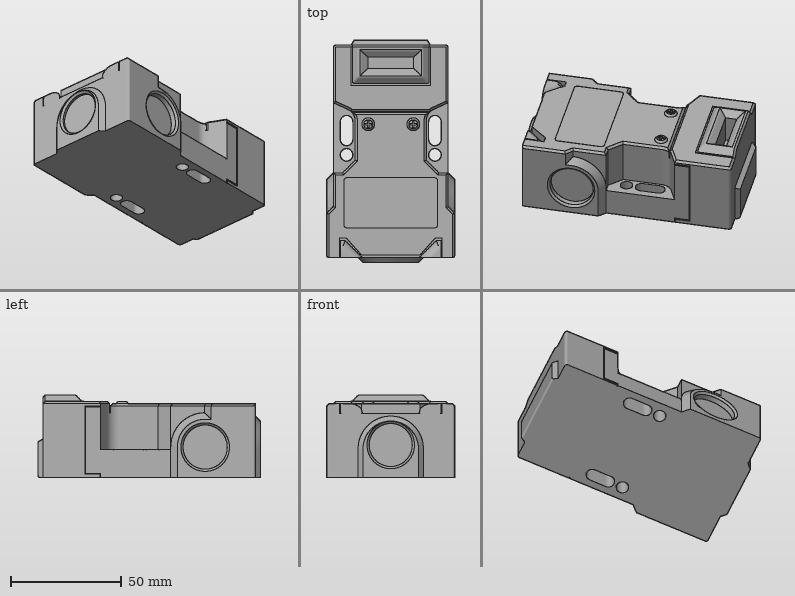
import cadquery as cq
import math

BODY_LENGTH = 96.25
LID_TOP = 33.5
HEAD_TOP = 34.5
FLANGE_TOP = 12.7
EDGE_CHAMFER = 1.0
BEVEL_ANGLE = 45.0
BACK_EDGE_RADIUS = 1.2
FRONT_EDGE_RADIUS = 1.0

WIDE_HALF = 29.0
BODY_HALF = 26.0
NECK_HALF = 16.1
WIDE_STEP = WIDE_HALF - BODY_HALF
WIDE_END_Y = 20.1
SHOULDER_Y = 38.4
SHOULDER_HALF = 21.8
NECK_START_Y = SHOULDER_Y + SHOULDER_HALF - NECK_HALF
HEAD_SIDE_Y = 70.1
HEAD_FRONT_Y = 66.1
HEAD_SLOPE = math.radians(24.6)
NECK_END_Y = HEAD_SIDE_Y - (BODY_HALF - NECK_HALF) * math.tan(HEAD_SLOPE)
NECK_FILLET = 5.6

JOINT_WIDTH = 0.4
JOINT_BOTTOM = 29.5

SEAM_WIDTH = 0.3
SEAM_DEPTH = 0.4
SEAM_BACK_Y = 77.2
SEAM_TOP = 32.4
SEAM_BOTTOM = 2.0

ENTRY_TOP = 37.5
ENTRY_HALF = 17.6
ENTRY_FRONT_Y = 78.5
ENTRY_FILLET = 1.5
PLINTH_HALF = 18.0
PLINTH_FRONT_Y = 78.0
PLINTH_HEIGHT = 0.25
ENTRY_Y = 88.2
FUNNEL_MOUTH = (27.8, 12.0)
FUNNEL_RIM = (26.0, 10.0)
FUNNEL_THROAT = (20.6, 5.1)
RIM_DEPTH = 0.5
FUNNEL_DEPTH = 2.0
KEY_SLOT_DEPTH = 15.0

BACK_ENTRY_DEPTH = 2.25
BACK_ENTRY_HALF = 17.9
BACK_ENTRY_TOP = 17.6
BACK_ENTRY_TAPER = 32.0
BACK_ENTRY_BOTTOM_FILLET = 0.9

SIDE_ENTRY_Y = 22.8
SIDE_ENTRY_Z = 13.85
SIDE_HOOD_RADIUS = SHOULDER_Y - SIDE_ENTRY_Y
SIDE_HOLE_RADIUS = 11.0
SIDE_HOLE_DEPTH = 3.5
FRONT_HOOD_Z = 13.1
FRONT_HOOD_RADIUS = 14.8
FRONT_HOOD_DEPTH = 2.25
FRONT_HOLE_Z = 14.8
FRONT_HOLE_RADIUS = 10.75
FRONT_HOLE_DEPTH = 2.0
HOLE_CHAMFER = 1.0
HOOD_ROOT = 1.0

MOUNT_X = 20.0
MOUNT_DIAMETER = 5.6
MOUNT_HOLE_Y = 46.5
MOUNT_SLOT_Y = 57.5
MOUNT_SLOT_LENGTH = 13.6

LABEL_SIZE = (42.5, 22.8)
LABEL_Y = 24.8
LABEL_RADIUS = 1.6
LABEL_DEPTH = 0.1
SCREW_X = 10.2
SCREW_Y = 60.35
SCREW_BASE_RADIUS = 2.9
SCREW_TOP_RADIUS = 2.0
CROSS_LENGTH = 2.8
CROSS_WIDTH = 0.7
CROSS_DEPTH = 0.5

CUT_BOTTOM = 29.0
CUT_HALF = 23.2
CUT_BACK_Y = 8.9
CUT_CORNER_HALF = 20.2
CUT_FRONT_Y = 1.2
CUT_FRONT_HALF = 13.3
SLIT_WIDTH = 0.5
CORNER_BACK_Y = 7.7
CORNER_BACK_HALF = 20.6
CORNER_FILLET = 4.1


def box(x0, x1, y0, y1, z0, z1):
    """Box between two limits on each axis."""
    return cq.Workplane("XY").box(x1 - x0, y1 - y0, z1 - z0, centered=False).translate((x0, y0, z0))


def both_sides(shape):
    """The shape together with its mirror image across the YZ plane."""
    return shape.union(shape.mirror("YZ"))


def waisted_block(height, y0, y1):
    """Slice from y0 to y1 of the waisted plan outline, raised to a height."""
    right = [
        (WIDE_HALF, 0),
        (WIDE_HALF, WIDE_END_Y),
        (BODY_HALF, WIDE_END_Y + WIDE_STEP),
        (BODY_HALF, SHOULDER_Y),
        (SHOULDER_HALF, SHOULDER_Y),
        (NECK_HALF, NECK_START_Y),
        (NECK_HALF, NECK_END_Y),
        (BODY_HALF, HEAD_SIDE_Y),
        (BODY_HALF, BODY_LENGTH),
    ]
    left = [(-x, y) for x, y in reversed(right)]
    block = cq.Workplane("XY").polyline(right + left).close().extrude(height)
    for x in (-NECK_HALF, NECK_HALF):
        corner = cq.selectors.NearestToPointSelector((x, NECK_END_Y, height / 2))
        block = block.edges(corner).fillet(NECK_FILLET)
    return block.intersect(box(-WIDE_HALF, WIDE_HALF, y0, y1, 0, height))


def make_body():
    """Lid section, head and side flanges, with the joint groove left open above the link."""
    lid_end_y = HEAD_FRONT_Y - JOINT_WIDTH
    front = waisted_block(LID_TOP, 0, lid_end_y)
    front = front.faces(">Z").edges("not <Y").chamfer(EDGE_CHAMFER)
    front = front.edges("|Z").edges("<Y").fillet(FRONT_EDGE_RADIUS)
    head = waisted_block(HEAD_TOP, HEAD_FRONT_Y, BODY_LENGTH)
    head = head.edges("|Z").edges(">Y").fillet(BACK_EDGE_RADIUS)
    head = head.faces(">Z").edges().chamfer(EDGE_CHAMFER)
    link = waisted_block(JOINT_BOTTOM, lid_end_y, HEAD_FRONT_Y)
    flange = box(-BODY_HALF, BODY_HALF, WIDE_END_Y, SEAM_BACK_Y, 0, FLANGE_TOP)
    return front.union(link).union(head).union(flange)


def hood(plane, profile, depth):
    """Raised hood with 45 degree sides, trimmed flat at the bottom of the part."""
    solid = profile(cq.Workplane(plane)).extrude(depth, taper=BEVEL_ANGLE)
    return solid.intersect(box(-WIDE_HALF, WIDE_HALF, -FRONT_HOOD_DEPTH, SHOULDER_Y, 0, LID_TOP))


def side_hood():
    """Hood on the -X side; its top runs forward into the wide front of the body."""
    root = SIDE_HOOD_RADIUS + HOOD_ROOT
    below = -2 * root
    buried_y = WIDE_END_Y - 3 * WIDE_STEP
    plane = cq.Plane((-BODY_HALF + HOOD_ROOT, 0, 0), xDir=(0, -1, 0), normal=(-1, 0, 0))
    mid = root * math.sqrt(0.5)

    def profile(wp):
        return (
            wp.moveTo(-SIDE_ENTRY_Y - root, below)
            .lineTo(-SIDE_ENTRY_Y - root, SIDE_ENTRY_Z)
            .threePointArc((-SIDE_ENTRY_Y - mid, SIDE_ENTRY_Z + mid), (-SIDE_ENTRY_Y, SIDE_ENTRY_Z + root))
            .lineTo(-buried_y, SIDE_ENTRY_Z + root)
            .lineTo(-buried_y, below)
            .close()
        )

    return hood(plane, profile, WIDE_STEP + HOOD_ROOT)


def front_hood():
    """Arched hood on the front face."""
    root = FRONT_HOOD_RADIUS + HOOD_ROOT
    below = -2 * root
    plane = cq.Plane((0, HOOD_ROOT, 0), xDir=(1, 0, 0), normal=(0, -1, 0))

    def profile(wp):
        return (
            wp.moveTo(-root, below)
            .lineTo(-root, FRONT_HOOD_Z)
            .threePointArc((0, FRONT_HOOD_Z + root), (root, FRONT_HOOD_Z))
            .lineTo(root, below)
            .close()
        )

    return hood(plane, profile, FRONT_HOOD_DEPTH + HOOD_ROOT)


def cable_hole(centre, inward, radius, depth):
    """Chamfered blind hole cut from the centre of its rim along the inward direction."""
    inner = radius - HOLE_CHAMFER
    centre = cq.Vector(*centre)
    inward = cq.Vector(*inward)
    cone = cq.Solid.makeCone(radius, inner, HOLE_CHAMFER, centre, inward)
    bore = cq.Solid.makeCylinder(inner, depth, centre, inward)
    return cq.Workplane(cone.fuse(bore))


def side_seam():
    """Narrow groove on the -X side tracing the joint of the head casing."""
    x0 = -BODY_HALF
    x1 = x0 + SEAM_DEPTH
    y0 = HEAD_SIDE_Y
    y1 = SEAM_BACK_Y
    w = SEAM_WIDTH
    upright = box(x0, x1, y1 - w, y1, SEAM_BOTTOM - w, SEAM_TOP)
    top = box(x0, x1, y0, y1, SEAM_TOP - w, SEAM_TOP)
    bottom = box(x0, x1, y0, y1, SEAM_BOTTOM - w, SEAM_BOTTOM)
    drop = box(x0, x1, y0, y0 + w, 0, SEAM_BOTTOM)
    return upright.union(top).union(bottom).union(drop)


def top_entry():
    """Raised key entry on a low plinth, with 45 degree front and sides and a chamfered back."""
    rise = ENTRY_TOP - HEAD_TOP
    foot = EDGE_CHAMFER
    half = ENTRY_HALF + foot
    front_y = ENTRY_FRONT_Y - foot
    back_y = BODY_LENGTH + 2 * (rise + foot)
    entry = (
        cq.Workplane("XY", origin=(0, 0, HEAD_TOP - foot))
        .moveTo(-half, front_y).lineTo(half, front_y).lineTo(half, back_y).lineTo(-half, back_y).close()
        .extrude(rise + foot, taper=BEVEL_ANGLE)
    )
    entry = entry.faces("not <Z").edges("not <Z").fillet(ENTRY_FILLET)
    entry = entry.intersect(box(-half, half, front_y, BODY_LENGTH, 0, ENTRY_TOP))
    entry = entry.faces(">Y").edges("not <Z").chamfer(EDGE_CHAMFER)
    plinth_back_y = BODY_LENGTH - EDGE_CHAMFER
    plinth_top = HEAD_TOP + PLINTH_HEIGHT
    return entry.union(
        box(-PLINTH_HALF, PLINTH_HALF, PLINTH_FRONT_Y, plinth_back_y, HEAD_TOP - foot, plinth_top)
    )


def frustum(upper, lower, z_top, depth):
    """Rectangular funnel narrowing downwards from z_top."""
    return (
        cq.Workplane("XY", origin=(0, ENTRY_Y, z_top - depth)).rect(*lower)
        .workplane(offset=depth).rect(*upper).loft(combine=True)
    )


def cut_key_slot(part):
    """Cut a funnel-shaped mouth leading into a straight rectangular slot."""
    funnel_top = ENTRY_TOP - RIM_DEPTH
    part = part.cut(frustum(FUNNEL_MOUTH, FUNNEL_RIM, ENTRY_TOP, RIM_DEPTH))
    part = part.cut(frustum(FUNNEL_RIM, FUNNEL_THROAT, funnel_top, FUNNEL_DEPTH))
    floor = cq.Workplane("XY", origin=(0, ENTRY_Y, ENTRY_TOP - KEY_SLOT_DEPTH))
    return part.cut(floor.rect(*FUNNEL_THROAT).extrude(KEY_SLOT_DEPTH))


def back_entry():
    """Tapered block standing on the back face, cut flat at the bottom of the part."""
    plane = cq.Plane((0, BODY_LENGTH, 0), xDir=(-1, 0, 0), normal=(0, 1, 0))
    half = BACK_ENTRY_HALF
    height = 2 * BACK_ENTRY_TOP
    entry = cq.Workplane(plane).rect(2 * half, height).extrude(BACK_ENTRY_DEPTH, taper=BACK_ENTRY_TAPER)
    entry = entry.intersect(box(-half, half, BODY_LENGTH, 2 * BODY_LENGTH, 0, BACK_ENTRY_TOP))
    return entry.faces(">Y").edges("<Z").fillet(BACK_ENTRY_BOTTOM_FILLET)


def mounting_holes():
    """A round hole and a lengthwise slot through each flange."""
    places = [(-MOUNT_X, MOUNT_HOLE_Y), (MOUNT_X, MOUNT_HOLE_Y)]
    holes = cq.Workplane("XY").pushPoints(places).circle(MOUNT_DIAMETER / 2).extrude(FLANGE_TOP)
    slots = (
        cq.Workplane("XY").pushPoints([(x, MOUNT_SLOT_Y) for x, _ in places])
        .slot2D(MOUNT_SLOT_LENGTH, MOUNT_DIAMETER, 90).extrude(FLANGE_TOP)
    )
    return holes.union(slots)


def label_recess():
    """Shallow rounded rectangle in the lid for the label."""
    return (
        cq.Workplane("XY", origin=(0, LABEL_Y, LID_TOP - LABEL_DEPTH))
        .rect(*LABEL_SIZE).extrude(LABEL_DEPTH).edges("|Z").fillet(LABEL_RADIUS)
    )


def lid_screw(x):
    """Conical screw head with a cross recess."""
    height = HEAD_TOP - LID_TOP
    head = cq.Workplane(cq.Solid.makeCone(SCREW_BASE_RADIUS, SCREW_TOP_RADIUS, height))
    floor = cq.Workplane("XY", origin=(0, 0, height - CROSS_DEPTH))
    head = head.cut(floor.rect(CROSS_LENGTH, CROSS_WIDTH).extrude(CROSS_DEPTH))
    head = head.cut(floor.rect(CROSS_WIDTH, CROSS_LENGTH).extrude(CROSS_DEPTH))
    return head.translate((x, SCREW_Y, LID_TOP))


def lid_cut():
    """Clearance in front of the lid's stepped front edge."""
    right = [
        (CUT_FRONT_HALF, CUT_FRONT_Y),
        (CUT_CORNER_HALF, CUT_BACK_Y),
        (CUT_HALF, CUT_BACK_Y),
        (CUT_HALF, 0),
    ]
    left = [(-x, y) for x, y in reversed(right)]
    floor = cq.Workplane("XY", origin=(0, 0, CUT_BOTTOM))
    return floor.polyline(right + left).close().extrude(LID_TOP - CUT_BOTTOM)


def rounded_corner():
    """Corner block in the lid clearance on the -X side, rounded over towards the lid."""
    outer = CUT_HALF - SLIT_WIDTH
    overhang = CORNER_FILLET
    diagonal_half = CORNER_BACK_HALF - CORNER_BACK_Y - overhang
    block = (
        cq.Workplane("XY", origin=(0, 0, CUT_BOTTOM))
        .moveTo(-outer - overhang, CORNER_BACK_Y)
        .lineTo(-CORNER_BACK_HALF, CORNER_BACK_Y)
        .lineTo(-diagonal_half, -overhang)
        .lineTo(-outer - overhang, -overhang)
        .close()
        .extrude(LID_TOP - CUT_BOTTOM)
    )
    block = block.faces(">Z").edges("not (|Y or <Y)").fillet(CORNER_FILLET)
    return block.intersect(box(-outer, 0, 0, CORNER_BACK_Y, CUT_BOTTOM, LID_TOP)).intersect(lid_cut())


body = make_body()
body = body.union(both_sides(side_hood())).union(front_hood())
body = body.union(top_entry()).union(back_entry())
body = cut_key_slot(body)
body = body.cut(both_sides(side_seam()))
body = body.cut(lid_cut()).union(both_sides(rounded_corner()))
body = body.cut(label_recess()).cut(mounting_holes())
side_rim = (-WIDE_HALF, SIDE_ENTRY_Y, SIDE_ENTRY_Z)
front_rim = (0, -FRONT_HOOD_DEPTH, FRONT_HOLE_Z)
body = body.cut(both_sides(cable_hole(side_rim, (1, 0, 0), SIDE_HOLE_RADIUS, SIDE_HOLE_DEPTH)))
body = body.cut(cable_hole(front_rim, (0, 1, 0), FRONT_HOLE_RADIUS, FRONT_HOLE_DEPTH))
for screw_x in (-SCREW_X, SCREW_X):
    body = body.union(lid_screw(screw_x))

result = body